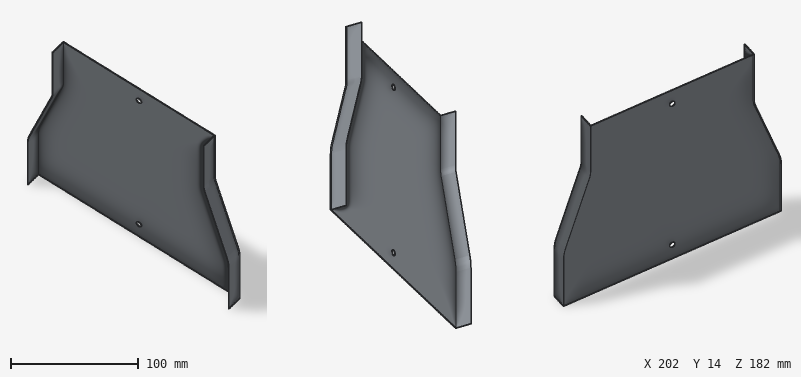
import cadquery as cq
import math

wide_width = 202.0
narrow_width = 152.1
height = 182.0
depth = 14.0
sheet_thickness = 0.8

lower_corner_z = 56.5
upper_corner_z = 129.0
lower_bend_radius = 33.1
upper_bend_radius = 16.4

hole_diameter = 5.0
hole_edge_distance = 15.0


def side_block(inset, block_depth):
    """Solid inside the side outline, with both sides moved inward by the inset."""
    wide = wide_width / 2 - inset
    narrow = narrow_width / 2 - inset
    slope_angle = math.atan2((wide_width - narrow_width) / 2, upper_corner_z - lower_corner_z)
    corner_drop = inset * math.tan(slope_angle / 2)
    lower_z = lower_corner_z - corner_drop
    upper_z = upper_corner_z - corner_drop
    right_side = [(wide, 0), (wide, lower_z), (narrow, upper_z), (narrow, height)]
    left_side = [(-x, z) for x, z in reversed(right_side)]
    block = cq.Workplane("XZ").polyline(right_side + left_side).close().extrude(block_depth)
    for x, z, radius in (
        (wide, lower_z, lower_bend_radius - inset),
        (narrow, upper_z, upper_bend_radius + inset),
    ):
        for side in (-1, 1):
            corner = cq.selectors.NearestToPointSelector((side * x, -block_depth / 2, z))
            block = block.edges("|Y").edges(corner).fillet(radius)
    return block


def folded_sheet():
    """Back plate with both flanges, open at the front, top and bottom."""
    outer = side_block(0, depth)
    space = side_block(sheet_thickness, depth).translate((0, -sheet_thickness, 0))
    return outer.cut(space)


def mounting_holes():
    """Cutters for the two holes through the back plate."""
    hole_heights = (hole_edge_distance, height - hole_edge_distance)
    return (
        cq.Workplane("XZ")
        .pushPoints([(0, z) for z in hole_heights])
        .circle(hole_diameter / 2)
        .extrude(depth)
    )


result = folded_sheet().cut(mounting_holes())